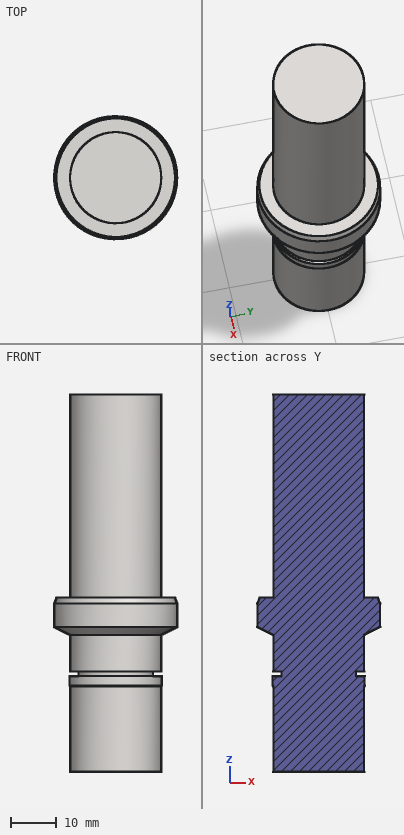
import cadquery as cq
import math

TOTAL_LENGTH = 82.75
COLLAR_TOP_Z = 38.25
COLLAR_HEIGHT = 8.25
GROOVE_TO_COLLAR = 8.0
GROOVE_WIDTH = 1.0
BAND_WIDTH = 2.0
BAND_BEVEL_HEIGHT = 0.25

SHAFT_DIAMETER = 20.0
COLLAR_DIAMETER = 27.0
GROOVE_DIAMETER = 16.4
BAND_DIAMETER = 20.3

TOP_TAPER_INSET = 0.5
TOP_TAPER_ANGLE = 20.0
BOTTOM_TAPER_HEIGHT = 1.75

shaft_radius = SHAFT_DIAMETER / 2
collar_bottom_z = COLLAR_TOP_Z - COLLAR_HEIGHT
groove_top_z = collar_bottom_z - GROOVE_TO_COLLAR
groove_bottom_z = groove_top_z - GROOVE_WIDTH
band_bottom_z = groove_bottom_z - BAND_WIDTH
bevel_bottom_z = band_bottom_z - BAND_BEVEL_HEIGHT


def cylinder(diameter, bottom_z, top_z):
    """Round section on the Z axis between two heights."""
    return cq.Workplane("XY").workplane(offset=bottom_z).circle(diameter / 2).extrude(top_z - bottom_z)


def turned(outline):
    """Solid of revolution about Z from (radius, z) points, closed along the axis."""
    bottom_z = outline[0][1]
    top_z = outline[-1][1]
    half_section = cq.Workplane("XZ").polyline([(0, bottom_z), *outline, (0, top_z)]).close()
    return half_section.revolve(360, (0, 0, 0), (0, 1, 0))


def make_collar():
    """Collar with a slight taper at the top and a cone down to the shaft."""
    collar_radius = COLLAR_DIAMETER / 2
    top_taper_height = TOP_TAPER_INSET / math.tan(math.radians(TOP_TAPER_ANGLE))
    return turned([
        (shaft_radius, collar_bottom_z),
        (collar_radius, collar_bottom_z + BOTTOM_TAPER_HEIGHT),
        (collar_radius, COLLAR_TOP_Z - top_taper_height),
        (collar_radius - TOP_TAPER_INSET, COLLAR_TOP_Z),
    ])


def make_band():
    """Slightly raised band below the groove, bevelled down to the shaft diameter."""
    band_radius = BAND_DIAMETER / 2
    return turned([
        (shaft_radius, bevel_bottom_z),
        (band_radius, band_bottom_z),
        (band_radius, groove_bottom_z),
    ])


def make_groove():
    """Ring of material removed to form the groove below the collar."""
    outer = cylinder(COLLAR_DIAMETER, groove_bottom_z, groove_top_z)
    return outer.cut(cylinder(GROOVE_DIAMETER, groove_bottom_z, groove_top_z))


shaft = cylinder(SHAFT_DIAMETER, 0, TOTAL_LENGTH)
result = shaft.union(make_collar()).union(make_band()).cut(make_groove())